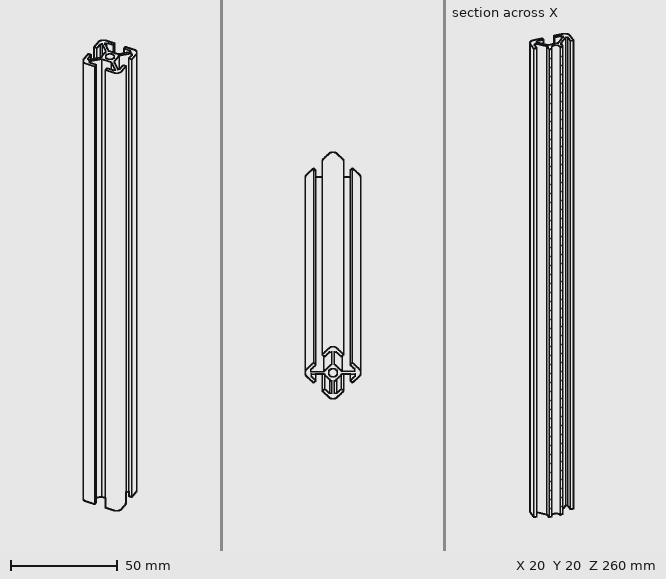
import cadquery as cq

length = 260.0
side = 20.0
corner_radius = 2.5
slot_opening = 5.7
wall = 1.5
corner_chamfer = 2.3
core_side = 7.0
bore_diameter = 4.2
web_thickness = 1.3

cavity_side = side - 2 * wall
cavity_diagonal = cavity_side * 2 ** 0.5


def square_bar(width):
    return cq.Workplane("XY").rect(width, width).extrude(length)


def outer_shell():
    """Thin square tube with rounded outer and filled inner corners, opened by a slot in each side."""
    shell = square_bar(side).edges("|Z").fillet(corner_radius)
    cavity = square_bar(cavity_side).edges("|Z").chamfer(corner_chamfer)
    shell = shell.cut(cavity)
    slot_x = cq.Workplane("XY").rect(side, slot_opening).extrude(length)
    slot_y = cq.Workplane("XY").rect(slot_opening, side).extrude(length)
    return shell.cut(slot_x).cut(slot_y)


def diagonal_webs():
    """Crossed plates joining the core to the four shell corners."""
    plate = cq.Workplane("XY").rect(cavity_diagonal, web_thickness).extrude(length)
    webs = cq.Workplane("XY")
    for angle in (45, 135):
        webs = webs.add(plate.rotate((0, 0, 0), (0, 0, 1), angle))
    return webs.combine()


bore = cq.Workplane("XY").circle(bore_diameter / 2).extrude(length)

result = outer_shell().union(diagonal_webs()).union(square_bar(core_side)).cut(bore)